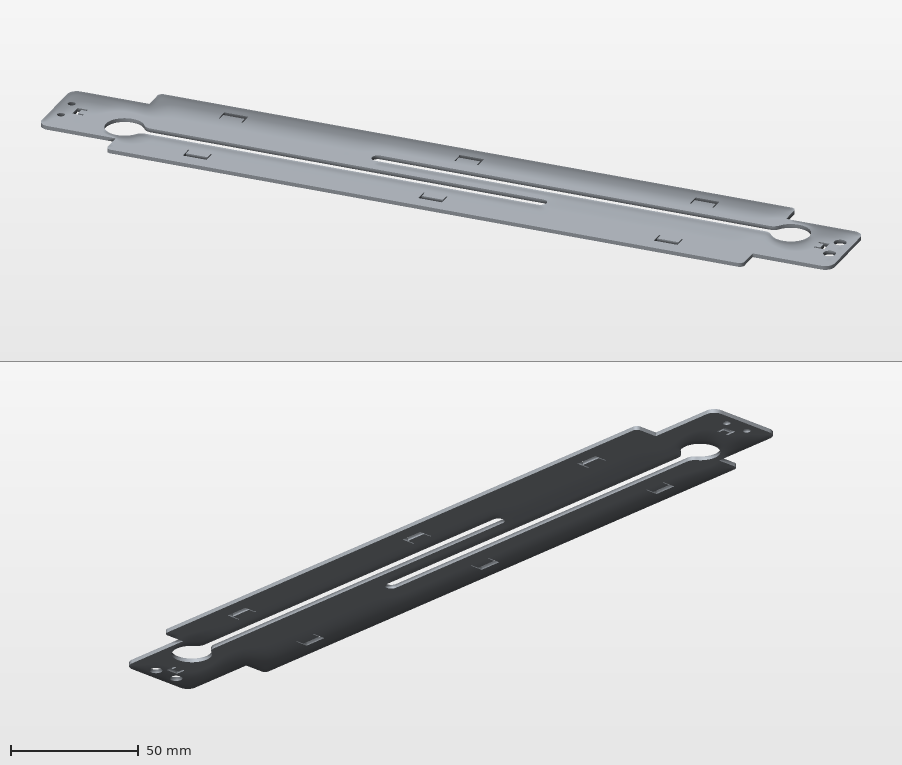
import cadquery as cq
import math

length = 336.2
width = 54.5
thickness = 1.6
body_length = 270.0
end_width = 34.0
end_corner_radius = 4.0
body_corner_radius = 2.0

keyhole_offset = 6.0
keyhole_diameter = 15.8
slot_width = 5.0
keyhole_blend_radius = 4.0
left_keyhole_x = -136.0
left_slot_end_x = 43.0
right_keyhole_x = 141.5
right_slot_end_x = -36.0
corner_reach = 0.5

edge_tab_pitch = 100.0
edge_tab_width = 10.0
edge_tab_depth = 5.7
edge_tab_gap = 2.5
edge_tab_slit = 0.5
edge_tab_inset = 6.0

end_tab_width = 5.5
end_tab_depth = 4.5
end_tab_gap = 2.0
end_tab_slit = 1.0
end_tab_inset = 8.7

hole_pair_offset = 5.5
left_hole_diameter = 3.1
left_hole_x = -163.0
right_hole_diameter = 5.0
right_hole_x = 162.7


def plate():
    body = cq.Workplane("XY").box(body_length, width, thickness).edges("|Z").fillet(body_corner_radius)
    ends = cq.Workplane("XY").box(length, end_width, thickness).edges("|Z").fillet(end_corner_radius)
    return body.union(ends)


def round_cutter(diameter, x, y):
    return cq.Workplane("XY").center(x, y).circle(diameter / 2).extrude(thickness, both=True)


def keyhole_cutter(hole_x, slot_end_x, y):
    """Round hole at hole_x with a round-ended slot running along X from it to slot_end_x."""
    direction = math.copysign(1, slot_end_x - hole_x)
    slot_length = abs(slot_end_x - hole_x)
    slot = (
        cq.Workplane("XY")
        .center((hole_x + slot_end_x) / 2, y)
        .slot2D(slot_length, slot_width)
        .extrude(thickness, both=True)
    )
    keyhole = slot.union(round_cutter(keyhole_diameter, hole_x, y))
    corner_x = hole_x + direction * math.sqrt(keyhole_diameter**2 - slot_width**2) / 2
    corner_box = cq.selectors.BoxSelector(
        (corner_x - corner_reach, y - slot_width, -thickness),
        (corner_x + corner_reach, y + slot_width, thickness),
    )
    return keyhole.edges("|Z").edges(corner_box).fillet(keyhole_blend_radius)


def u_cutter(tab_width, depth, gap, slit, x, y, angle):
    """U with the middle of its closed side at (x, y); at angle 0 it opens toward -Y."""
    half = tab_width / 2
    inner = half - slit
    return (
        cq.Workplane("XY")
        .polyline([
            (-half, 0),
            (half, 0),
            (half, -depth),
            (inner, -depth),
            (inner, -gap),
            (-inner, -gap),
            (-inner, -depth),
            (-half, -depth),
        ])
        .close()
        .extrude(thickness, both=True)
        .rotate((0, 0, 0), (0, 0, 1), angle)
        .translate((x, y, 0))
    )


result = plate()

result = result.cut(keyhole_cutter(left_keyhole_x, left_slot_end_x, -keyhole_offset))
result = result.cut(keyhole_cutter(right_keyhole_x, right_slot_end_x, keyhole_offset))

edge_tab_y = width / 2 - edge_tab_inset
for column in (-1, 0, 1):
    for side, angle in ((1, 0), (-1, 180)):
        result = result.cut(
            u_cutter(edge_tab_width, edge_tab_depth, edge_tab_gap, edge_tab_slit,
                     column * edge_tab_pitch, side * edge_tab_y, angle)
        )

end_tab_x = length / 2 - end_tab_inset
for side, angle in ((-1, 90), (1, -90)):
    result = result.cut(
        u_cutter(end_tab_width, end_tab_depth, end_tab_gap, end_tab_slit, side * end_tab_x, 0, angle)
    )

for side in (-1, 1):
    result = result.cut(round_cutter(left_hole_diameter, left_hole_x, side * hole_pair_offset))
    result = result.cut(round_cutter(right_hole_diameter, right_hole_x, side * hole_pair_offset))